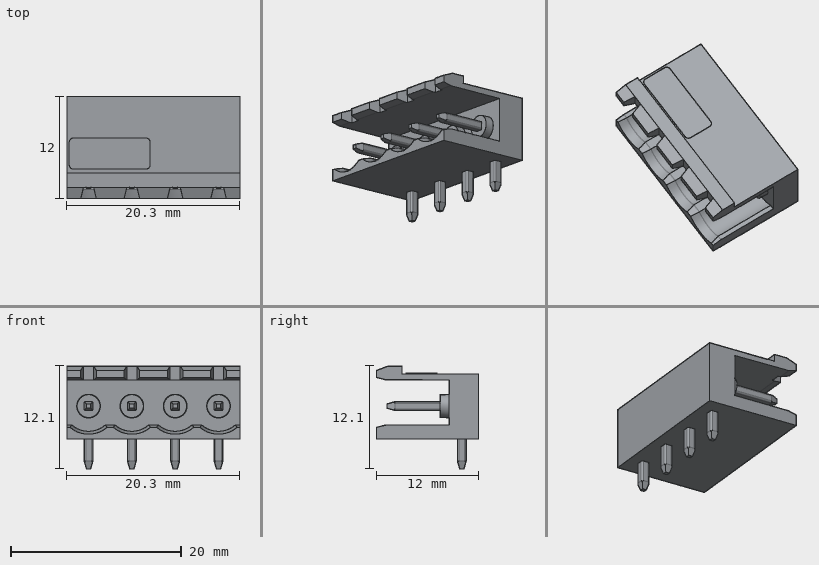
import cadquery as cq

contact_count = 4
pitch = 5.08
housing_width = contact_count * pitch
contact_xs = [(index + 0.5) * pitch for index in range(contact_count)]

housing_depth = 12.0
cavity_depth = 8.52
body_height = 7.65
shelf_height = 1.65
shelf_bevel_length = 1.1
shelf_bevel_drop = 0.27
roof_underside_back = 6.9
roof_underside_front = 6.95
ledge_height = 8.55
ledge_depth = 3.03
ledge_top_bevel_length = 1.34
nose_top = 8.04
nose_bottom = 7.21
nose_lower_bevel_length = 1.04

notch_depth = ledge_top_bevel_length
notch_front_width = 1.84
notch_back_width = 1.18

contact_height = 3.86
trough_radius = 2.96
trough_mouth_radius = 3.3

collar_base_diameter = 2.78
collar_end_diameter = 2.69
collar_length = 1.05

pad_x = 0.27
pad_y = 3.48
pad_length = 9.5
pad_width = 3.64
pad_corner_radius = 0.5
pad_thickness = 0.07

pin_width = 1.05
pin_edge_radius = 0.2
pin_tip_width = 0.5
pin_tip_length = 0.95
overall_height = 12.07
pin_front_y = 1.22
pin_leg_y = 10.02
pin_bottom_z = ledge_height - overall_height


def make_shell():
    """Housing side profile extruded over the full width."""
    profile = [
        (0, 0),
        (housing_depth, 0),
        (housing_depth, body_height),
        (ledge_depth, body_height),
        (ledge_depth, ledge_height),
        (ledge_top_bevel_length, ledge_height),
        (0, nose_top),
        (0, nose_bottom),
        (nose_lower_bevel_length, roof_underside_front),
        (cavity_depth, roof_underside_back),
        (cavity_depth, shelf_height),
        (shelf_bevel_length, shelf_height),
        (0, shelf_height - shelf_bevel_drop),
    ]
    return cq.Workplane("YZ").polyline(profile).close().extrude(housing_width)


def make_notch(x):
    """Wedge that narrows toward the back of the ledge nose."""
    outline = [
        (x - notch_front_width / 2, 0),
        (x + notch_front_width / 2, 0),
        (x + notch_back_width / 2, notch_depth),
        (x - notch_back_width / 2, notch_depth),
    ]
    notch_floor = contact_height
    wedge = cq.Workplane("XY").workplane(offset=notch_floor).polyline(outline).close()
    return wedge.extrude(ledge_height - notch_floor)


def turned_about_contact(x, profile):
    """Revolve a (radius, Y) profile about the horizontal contact axis."""
    plane = cq.Plane(origin=(x, 0, contact_height), xDir=(1, 0, 0), normal=(0, 0, 1))
    return cq.Workplane(plane).polyline(profile).close().revolve(360, (0, 0, 0), (0, 1, 0))


def make_trough(x):
    """Lower half of a round bore with a flared mouth; it only cuts the shelf."""
    bore = turned_about_contact(x, [
        (0, 0),
        (trough_mouth_radius, 0),
        (trough_radius, shelf_bevel_length),
        (trough_radius, cavity_depth),
        (0, cavity_depth),
    ])
    lower_half = cq.Workplane("XY").box(
        housing_width, housing_depth, contact_height, centered=(True, False, False)
    ).translate((x, 0, 0))
    return bore.intersect(lower_half)


def make_collar(x):
    return turned_about_contact(x, [
        (0, cavity_depth),
        (collar_base_diameter / 2, cavity_depth),
        (collar_end_diameter / 2, cavity_depth - collar_length),
        (0, cavity_depth - collar_length),
    ])


def make_label_pad():
    pad = cq.Workplane("XY").box(pad_length, pad_width, pad_thickness, centered=False)
    pad = pad.edges("|Z").fillet(pad_corner_radius)
    return pad.translate((pad_x, pad_y, body_height))


def make_rod(length):
    """Round-edged square rod rising from Z = 0, where it has a tapered tip."""
    rod = cq.Workplane("XY").rect(pin_width, pin_width).extrude(length)
    rod = rod.edges("|Z").fillet(pin_edge_radius)
    tip = (
        cq.Workplane("XY").rect(pin_tip_width, pin_tip_width)
        .workplane(offset=pin_tip_length).rect(pin_width, pin_width)
        .loft(ruled=True)
    )
    shank = cq.Workplane("XY").workplane(offset=pin_tip_length).rect(pin_width, pin_width)
    envelope = tip.union(shank.extrude(length - pin_tip_length))
    return rod.intersect(envelope)


def make_pin(x):
    """L-shaped contact: a horizontal blade joined to a downward solder leg."""
    blade_length = pin_leg_y + pin_width / 2 - pin_front_y
    leg_length = contact_height + pin_width / 2 - pin_bottom_z
    blade = make_rod(blade_length).rotate((0, 0, 0), (1, 0, 0), -90)
    blade = blade.translate((x, pin_front_y, contact_height))
    leg = make_rod(leg_length).translate((x, pin_leg_y, pin_bottom_z))
    return blade.union(leg)


def make_housing(pins):
    """Housing with a matching passage for every pin."""
    housing = make_shell().union(make_label_pad())
    for x in contact_xs:
        housing = housing.cut(make_notch(x))
        housing = housing.cut(make_trough(x))
        housing = housing.union(make_collar(x))
    for pin in pins:
        housing = housing.cut(pin)
    return housing


pins = [make_pin(x) for x in contact_xs]
housing = make_housing(pins)

result = cq.Compound.makeCompound([housing.solids().val(), *[pin.solids().val() for pin in pins]])